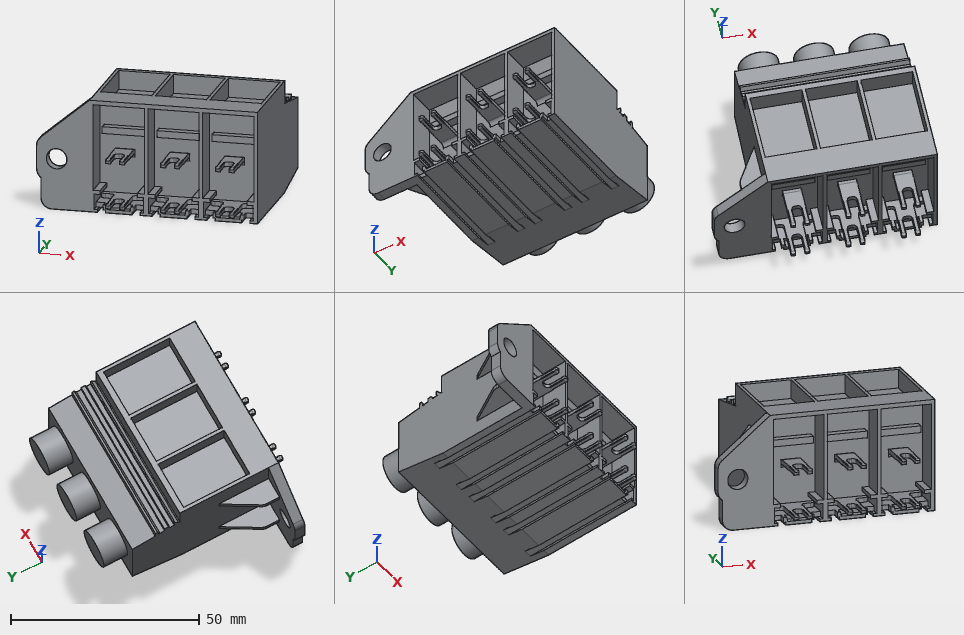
import cadquery as cq
import math


pole_count = 3
pole_pitch = 15.0
wall = 0.95
body_left = 14.5
body_right = body_left + pole_count * pole_pitch + wall
cell_width = pole_pitch - wall
pole_centers = [body_left + wall + cell_width / 2 + i * pole_pitch for i in range(pole_count)]

height = 31.0
step_y = 29.95
step_z = 24.6
back_y = 44.35
back_top_z = 22.2
back_bottom_z = 2.6
bottom_taper_y = 29.4

ridges = [
    (37.4, [(37.25, 25.05), (36.65, 25.15), (36.0, 24.0)], 36.3),
    (34.55, [(34.55, 25.05), (33.4, 25.2)], 32.9),
    (31.4, [(31.75, 24.85), (31.75, 25.9), (31.4, 25.95)], 30.3),
]

pocket_front_y = 8.2
pocket_back_y = 28.25
pocket_depth = 5.2

cell_depth = 7.5
cell_top_z = 29.75
cell_floor_z = 0.8
lower_cell_width = 13.55
rail_bottom_z = 5.0
rail_top_z = 6.05
rail_gap = 10.15
bar_width = 11.6
bar_bottom_z = 20.4
bar_top_z = 22.25
bar_reach = 2.3

ledge_top_z = 2.2
ledge_front_y = 2.2
block_width = 8.5
groove_inner = 3.6
groove_outer = 5.85
recess_top_width = 6.65
recess_floor_width = 6.1
recess_floor_z = 0.95
recess_depth = 2.0

flange_thickness = 3.0
flange_hole_diameter = 5.55
flange_hole_x = 5.5
flange_hole_z = 14.05
flange_slope = math.radians(40)
flange_corner_radius = 3.0
shoulder_top_z = 11.1
shoulder_bottom_z = 8.55
foot_left = 1.2

rib_thickness = 1.45
rib_bottoms = [5.0, 21.6]
rib_left = 8.5
rib_corner_y = 7.6
rib_slope = math.radians(60)
rib_corner_radius = 3.0

plate = 1.3
fork_width = 5.1
tine_width = plate
slot_width = fork_width - 2 * tine_width
tip_y = -4.5
slot_root_y = 1.7
fork_fillet = 0.95
web_front_y = slot_root_y - fork_fillet
tine_chamfer = 0.2
nose_length = 1.15
taper_length = 0.8
taper_drop = 0.25
nose_corner_radius = 0.4
upper_bottom_z = 14.9
bend_radius = 1.15
bend_start_y = cell_depth - bend_radius
bend_bottom_z = upper_bottom_z - bend_radius
lower_bottom_z = 2.35
base_width = 13.05
base_front_y = 5.75
base_corner_radius = 1.45

sleeve_diameter = 10.95
sleeve_end_y = 51.55
sleeve_length = sleeve_end_y - back_y
sleeve_z = 13.7


def box(x0, x1, y0, y1, z0, z1):
    return cq.Workplane("XY").box(x1 - x0, y1 - y0, z1 - z0, centered=False).translate((x0, y0, z0))


def centered_box(x, width, y0, y1, z0, z1):
    return box(x - width / 2, x + width / 2, y0, y1, z0, z1)


def shoulder_z(y):
    """Height of the sloping shoulder between the back and the step."""
    return back_top_z + (step_z - back_top_z) * (back_y - y) / (back_y - step_y)


def make_body():
    outline = [(0, 0), (bottom_taper_y, 0), (back_y, back_bottom_z), (back_y, back_top_z)]
    for back_foot, crest, front_foot in ridges:
        outline.append((back_foot, shoulder_z(back_foot)))
        outline.extend(crest)
        outline.append((front_foot, shoulder_z(front_foot)))
    outline.extend([(step_y, step_z), (step_y, height), (0, height)])
    body = cq.Workplane("YZ").polyline(outline).close().extrude(body_right - body_left)
    return body.translate((body_left, 0, 0))


def make_flange():
    slope_bottom_z = height - body_left * math.tan(flange_slope)
    flange = (
        cq.Workplane("XZ")
        .moveTo(body_left, 0)
        .lineTo(body_left, height)
        .lineTo(0, slope_bottom_z)
        .lineTo(0, shoulder_top_z)
        .tangentArcPoint((foot_left, shoulder_bottom_z), relative=False)
        .lineTo(foot_left, 0)
        .close()
        .extrude(-flange_thickness)
    )
    top_corner = cq.selectors.NearestToPointSelector((0, flange_thickness / 2, slope_bottom_z))
    bottom_corner = cq.selectors.NearestToPointSelector((foot_left, flange_thickness / 2, 0))
    flange = flange.edges(top_corner).fillet(flange_corner_radius)
    flange = flange.edges(bottom_corner).fillet(flange_corner_radius)
    hole = (
        cq.Workplane("XZ")
        .center(flange_hole_x, flange_hole_z)
        .circle(flange_hole_diameter / 2)
        .extrude(-flange_thickness)
    )
    return flange.cut(hole)


def make_rib(bottom_z):
    rib_back_y = rib_corner_y + (body_left - rib_left) * math.tan(rib_slope)
    outline = [
        (body_left, flange_thickness),
        (rib_left, flange_thickness),
        (rib_left, rib_corner_y),
        (body_left, rib_back_y),
    ]
    rib = cq.Workplane("XY").polyline(outline).close().extrude(rib_thickness)
    corner = cq.selectors.NearestToPointSelector((rib_left, rib_corner_y, rib_thickness / 2))
    return rib.edges(corner).fillet(rib_corner_radius).translate((0, 0, bottom_z))


def make_cell(x):
    """Empty space of one cell, around its rails, bar, ledge and block."""
    cell = centered_box(x, cell_width, 0, cell_depth, rail_top_z, cell_top_z)
    cell = cell.union(centered_box(x, rail_gap, 0, cell_depth, rail_bottom_z, rail_top_z))
    cell = cell.union(centered_box(x, lower_cell_width, 0, cell_depth, cell_floor_z, rail_bottom_z))
    bar = centered_box(x, bar_width, cell_depth - bar_reach, cell_depth, bar_bottom_z, bar_top_z)
    ledge = centered_box(x, lower_cell_width, ledge_front_y, cell_depth, cell_floor_z, ledge_top_z)
    block = centered_box(x, block_width, 0, cell_depth, cell_floor_z, ledge_top_z)
    return cell.cut(bar).cut(ledge).cut(block).union(make_block_recess(x))


def make_block_recess(x):
    outline = [
        (x - recess_floor_width / 2, recess_floor_z),
        (x + recess_floor_width / 2, recess_floor_z),
        (x + recess_top_width / 2, ledge_top_z),
        (x - recess_top_width / 2, ledge_top_z),
    ]
    return cq.Workplane("XZ").polyline(outline).close().extrude(-recess_depth)


def make_grooves(x):
    left = box(x - groove_outer, x - groove_inner, 0, back_y, 0, cell_floor_z)
    right = box(x + groove_inner, x + groove_outer, 0, back_y, 0, cell_floor_z)
    return left.union(right)


def make_pocket(x):
    return centered_box(x, cell_width, pocket_front_y, pocket_back_y, height - pocket_depth, height)


def make_nose(x, bottom_z):
    """Prong end, rounded in plan and tapered above and below."""
    top_z = bottom_z + plate
    nose = centered_box(x, tine_width, tip_y, tip_y + nose_length, bottom_z, top_z)
    nose = nose.edges("|Z and <Y").fillet(nose_corner_radius)
    side_profile = [
        (tip_y, bottom_z + taper_drop),
        (tip_y + taper_length, bottom_z),
        (tip_y + nose_length, bottom_z),
        (tip_y + nose_length, top_z),
        (tip_y + taper_length, top_z),
        (tip_y, top_z - taper_drop),
    ]
    taper = (
        cq.Workplane("YZ", origin=(x - tine_width / 2, 0, 0))
        .polyline(side_profile)
        .close()
        .extrude(tine_width)
    )
    return nose.intersect(taper)


def make_tine(x, bottom_z):
    """One prong with bevelled long edges, reaching back to the web."""
    top_z = bottom_z + plate
    shank = centered_box(x, tine_width, tip_y + nose_length, web_front_y, bottom_z, top_z)
    shank = shank.edges("|Y").chamfer(tine_chamfer)
    return shank.union(make_nose(x, bottom_z))


def make_fork(x, bottom_z, web_back_y):
    """Two prongs on a flat web whose slot root has rounded corners."""
    web = centered_box(x, fork_width, web_front_y, web_back_y, bottom_z, bottom_z + plate)
    root = centered_box(x, slot_width, web_front_y - fork_fillet, slot_root_y, bottom_z, bottom_z + plate)
    root = root.edges("|Z and >Y").fillet(fork_fillet)
    fork = web.cut(root)
    for side in (-1, 1):
        fork = fork.union(make_tine(x + side * (fork_width - tine_width) / 2, bottom_z))
    return fork


def make_upper_terminal(x):
    """Fork whose back end bends down into the cell's back wall."""
    outer = bend_radius + plate
    bend = (
        cq.Workplane("YZ", origin=(x - fork_width / 2, bend_start_y, bend_bottom_z))
        .moveTo(0, bend_radius)
        .radiusArc((bend_radius, 0), bend_radius)
        .lineTo(outer, 0)
        .radiusArc((0, outer), -outer)
        .close()
        .extrude(fork_width)
    )
    return make_fork(x, upper_bottom_z, bend_start_y).union(bend)


def make_lower_terminal(x):
    """Fork on a wide base that stands against the cell's back wall."""
    top_z = lower_bottom_z + plate
    base = centered_box(x, base_width, base_front_y, cell_depth, lower_bottom_z, top_z)
    base = base.edges("|Z and <Y").fillet(base_corner_radius)
    terminal = make_fork(x, lower_bottom_z, cell_depth).union(base)
    for side in (-1, 1):
        corner = (x + side * fork_width / 2, base_front_y, lower_bottom_z + plate / 2)
        terminal = terminal.edges(cq.selectors.NearestToPointSelector(corner)).fillet(fork_fillet)
    return terminal


def make_sleeve(x):
    plane = cq.Plane(origin=(x, back_y, sleeve_z), xDir=(-1, 0, 0), normal=(0, 1, 0))
    return cq.Workplane(plane).circle(sleeve_diameter / 2).extrude(sleeve_length)


def make_housing(embedded_terminals):
    housing = make_body().union(make_flange())
    for bottom_z in rib_bottoms:
        housing = housing.union(make_rib(bottom_z))
    for x in pole_centers:
        housing = housing.cut(make_cell(x)).cut(make_grooves(x)).cut(make_pocket(x))
    for terminal in embedded_terminals:
        housing = housing.cut(terminal)
    return housing


upper_terminals = [make_upper_terminal(x) for x in pole_centers]
lower_terminals = [make_lower_terminal(x) for x in pole_centers]
sleeves = [make_sleeve(x) for x in pole_centers]
housing = make_housing(upper_terminals)

result = cq.Compound.makeCompound(
    [housing.val()] + [body.val() for body in upper_terminals + lower_terminals + sleeves]
)